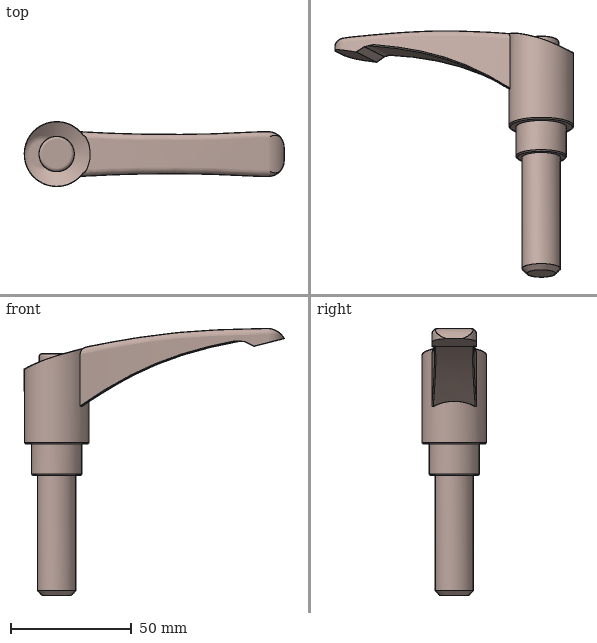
import cadquery as cq

total_height = 110.9
total_length = 107.9

stud_diameter = 16.0
stud_chamfer = 2.1
collar_diameter = 21.0
collar_bottom = 49.9
hub_diameter = 27.0
hub_bottom = 63.0
edge_break = 0.5

dish_offset = 5.8
dish_slope = 0.8
dish_apex_z = 87.9
dish_floor_z = 93.2
dish_floor_fillet = 3.3

button_diameter = 14.6
button_top = 100.5
button_fillet = 1.3

hub_radius = hub_diameter / 2
tip_x = total_length - hub_radius
tip_z = 106.7
crown_x = 86.1
root_x = 9.8
root_bottom_z = 78.1
root_top_z = 102.7
arm_end_half_width = 9.3
arm_waist_half_width = 8.2
arm_waist_x = 49.9
arm_end_x = 84.3
tip_corner_radius = 6.7
arm_top_fillet = 2.5
arm_top_points = [(32.3, 106.9), (51.5, 109.4), (69.0, 110.5), (crown_x, total_height)]
arm_under_points = [(59.5, 102.0), (43.5, 96.7), (25.8, 88.3), (root_x, root_bottom_z)]
tip_arc_middle = (91.6, 109.7)
finger_stop_points = [(81.9, 103.5), (78.2, 105.4), (76.0, 105.6)]


def make_shank():
    """Stud with a chamfered end and the collar above it."""
    stud = cq.Workplane("XY").circle(stud_diameter / 2).extrude(hub_bottom)
    stud = stud.faces("<Z").chamfer(stud_chamfer)
    collar = cq.Workplane("XY", origin=(0, 0, collar_bottom))
    collar = collar.circle(collar_diameter / 2).extrude(hub_bottom - collar_bottom)
    return stud.union(collar.faces("<Z").chamfer(edge_break))


def make_hub():
    """Cylinder that reaches above the rim, before the dish is cut."""
    hub = cq.Workplane("XY", origin=(0, 0, hub_bottom))
    hub = hub.circle(hub_radius).extrude(total_height - hub_bottom)
    return hub.faces("<Z").chamfer(edge_break)


def make_dish():
    """Flat-floored cone opening upward, whose offset gives the hub its sloping rim."""
    floor_height = dish_floor_z - dish_apex_z
    height = total_height - dish_apex_z
    dish = (
        cq.Workplane("XZ")
        .moveTo(0, floor_height)
        .lineTo(floor_height / dish_slope, floor_height)
        .lineTo(height / dish_slope, height)
        .lineTo(0, height)
        .close()
        .revolve(360, (0, 0, 0), (0, 1, 0))
        .faces("<Z").edges().fillet(dish_floor_fillet)
    )
    return dish.translate((-dish_offset, 0, dish_apex_z))


def make_arm_blank():
    """Side outline of the arm trimmed by its waisted plan outline."""
    side = (
        cq.Workplane("XZ", origin=(0, hub_radius, 0))
        .moveTo(root_x, root_bottom_z)
        .lineTo(root_x, root_top_z)
        .spline(arm_top_points, includeCurrent=True)
        .threePointArc(tip_arc_middle, (tip_x, tip_z))
        .polyline(finger_stop_points, includeCurrent=True)
        .spline(arm_under_points, includeCurrent=True)
        .close()
        .extrude(hub_diameter)
    )
    plan = (
        cq.Workplane("XY")
        .moveTo(root_x, -arm_end_half_width)
        .threePointArc((arm_waist_x, -arm_waist_half_width), (arm_end_x, -arm_end_half_width))
        .lineTo(tip_x, -arm_end_half_width)
        .lineTo(tip_x, arm_end_half_width)
        .lineTo(arm_end_x, arm_end_half_width)
        .threePointArc((arm_waist_x, arm_waist_half_width), (root_x, arm_end_half_width))
        .close()
        .extrude(total_height)
        .edges("|Z and >X").fillet(tip_corner_radius)
    )
    return side.intersect(plan)


def side_edges(arm, bottom, top):
    """Long edges along both arm sides, found by centres between two heights."""
    half_window = 11.1
    low_corner = (arm_waist_x - half_window, -hub_radius, bottom)
    high_corner = (arm_waist_x + half_window, hub_radius, top)
    return arm.edges(cq.selectors.BoxSelector(low_corner, high_corner))


def make_arm():
    """Arm with rounded upper sides and a small break along its lower sides."""
    arm = make_arm_blank()
    arm = side_edges(arm, tip_z, total_height).fillet(arm_top_fillet)
    underside_z = (root_bottom_z + total_height) / 2
    return side_edges(arm, underside_z - 2.2, underside_z + 2.2).chamfer(edge_break)


def make_button():
    """Release button standing in the dish."""
    button = cq.Workplane("XY", origin=(0, 0, hub_bottom))
    button = button.circle(button_diameter / 2).extrude(button_top - hub_bottom)
    return button.faces(">Z").edges().fillet(button_fillet)


handle = make_hub().union(make_arm()).cut(make_dish())
result = make_shank().union(handle).union(make_button())